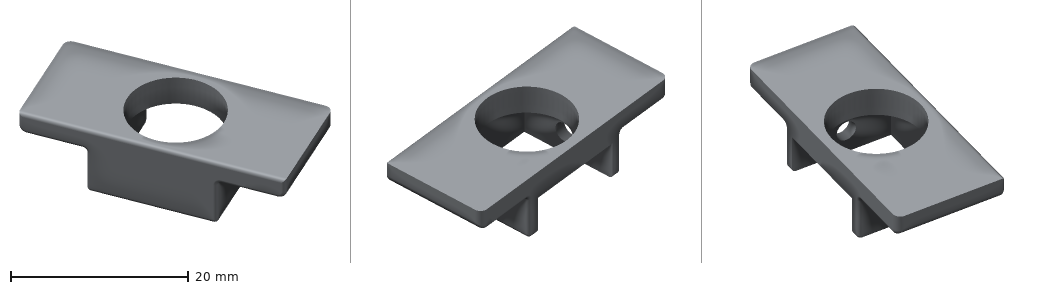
import cadquery as cq

length = 32.6
depth = 14.3
height = 8.8
plate_thickness = 2.8
corner_radius = 0.98
small_radius = 0.5

block_width = 15.97
wall = 1.5
front_wall = 1.25
cavity_ceiling = -3.75

bore_diameter = 11.8
pin_diameter = 2.55
pin_z = -5.8

front_y = -depth / 2
rear_y = depth / 2


def make_body():
    """Plate and block as one T-shaped body with rounded edges."""
    block_half = block_width / 2
    body = (
        cq.Workplane("XZ", origin=(0, rear_y, 0))
        .moveTo(-length / 2, 0)
        .lineTo(length / 2, 0)
        .lineTo(length / 2, -plate_thickness)
        .lineTo(block_half, -plate_thickness)
        .lineTo(block_half, -height)
        .lineTo(-block_half, -height)
        .lineTo(-block_half, -plate_thickness)
        .lineTo(-length / 2, -plate_thickness)
        .close()
        .extrude(depth)
    )

    body = body.faces("<X or >X").edges("<Z").fillet(corner_radius)
    inner_corners = cq.selectors.BoxSelector(
        (-block_half - small_radius, -depth, -plate_thickness - small_radius),
        (block_half + small_radius, depth, -plate_thickness + small_radius),
    )
    body = body.edges("|Y").edges(inner_corners).fillet(small_radius)

    outline = (
        cq.Workplane("XY")
        .rect(length, depth)
        .extrude(-height)
        .edges("|Z and >Y")
        .fillet(corner_radius)
    )
    body = body.intersect(outline)

    rear_block_edges = cq.selectors.BoxSelector(
        (-block_half - small_radius, rear_y - small_radius, -height),
        (block_half + small_radius, rear_y + small_radius, -plate_thickness - small_radius),
    )
    body = body.edges("|Z").edges(rear_block_edges).fillet(small_radius)

    body = body.faces("<Y").edges("not <Z").fillet(small_radius)
    return body.faces("<Z").edges().fillet(small_radius)


def make_cavity():
    """Room inside the block, open at the bottom and at the rear."""
    return (
        cq.Workplane("XY", origin=(0, front_y + front_wall, -height))
        .box(
            block_width - 2 * wall,
            depth - front_wall,
            height + cavity_ceiling,
            centered=(True, False, False),
        )
    )


def make_bore():
    """Vertical bore through the plate into the cavity."""
    return cq.Workplane("XY").circle(bore_diameter / 2).extrude(-height)


def make_pin_hole():
    """Cross hole along X through both side walls."""
    return (
        cq.Workplane("YZ")
        .center(0, pin_z)
        .circle(pin_diameter / 2)
        .extrude(block_width, both=True)
    )


result = make_body().cut(make_cavity()).cut(make_bore()).cut(make_pin_hole())